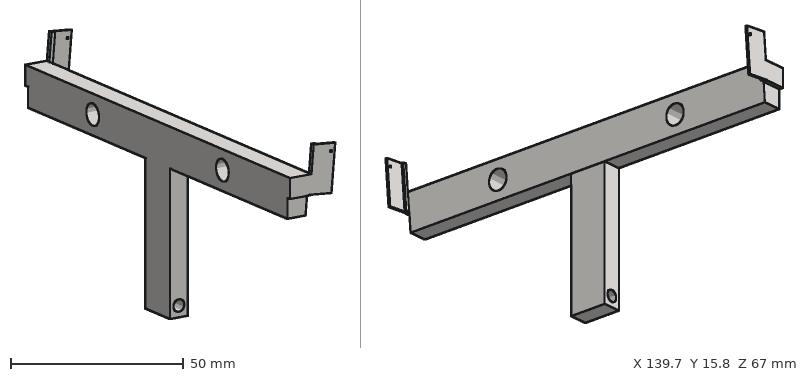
import cadquery as cq
import math

bar_length = 139.7
bar_top = 58.3
bar_height = 12.7
bar_bottom = bar_top - bar_height
bar_middle = bar_top - bar_height / 2
stem_width = 13.0
stem_depth = 6.3
end_step = 1.4

total_height = 67.0
total_depth = 15.8
lean = 5.0
tab_width = 7.5
tab_height = 15.1
plate_thickness = 0.7
rib_width = 1.3

bar_hole_spacing = 68.5
bar_hole_diameter = 6.7
stem_hole_diameter = 3.8
stem_hole_height = 3.6
pin_hole_diameter = 0.5
pin_hole_inset = 1.3
pin_hole_drop = 2.4

lean_sin = math.sin(math.radians(lean))
lean_cos = math.cos(math.radians(lean))
tab_back_top = (total_depth, total_height - tab_width * lean_sin)


def tab_point(forward, down):
    """(Y, Z) of a point measured from the tab's upper back corner."""
    y = tab_back_top[0] - forward * lean_cos - down * lean_sin
    z = tab_back_top[1] + forward * lean_sin - down * lean_cos
    return (y, z)


def back_face_y(z):
    """Y of the leaning back face of the bar, in line with the tab's front edge."""
    front_top = tab_point(tab_width, 0)
    return front_top[0] - (front_top[1] - z) * lean_sin / lean_cos


def extrude_along_x(outline, x_start, length):
    """Prism along +X from an outline of (Y, Z) points."""
    return cq.Workplane("YZ", origin=(x_start, 0, 0)).polyline(outline).close().extrude(length)


def make_bar():
    def bar_layer(z_low, z_high, length):
        outline = [(0, z_low), (back_face_y(z_low), z_low), (back_face_y(z_high), z_high), (0, z_high)]
        return extrude_along_x(outline, -length / 2, length)

    upper = bar_layer(bar_middle, bar_top, bar_length)
    lower = bar_layer(bar_bottom, bar_middle, bar_length - 2 * end_step)
    return upper.union(lower)


def make_stem():
    return cq.Workplane("XY").box(stem_width, stem_depth, bar_middle, centered=(True, False, False))


def make_left_tab():
    def tab_strip(back, front, thickness):
        outline = [
            tab_point(back, 0),
            tab_point(front, 0),
            tab_point(front, tab_height),
            tab_point(back, tab_height),
        ]
        return extrude_along_x(outline, -bar_length / 2, thickness)

    plate = tab_strip(0, tab_width, plate_thickness)
    rib = tab_strip(tab_width - rib_width, tab_width, end_step)
    pin_y, pin_z = tab_point(pin_hole_inset, pin_hole_drop)
    pin_hole = (
        cq.Workplane("YZ", origin=(-bar_length / 2, pin_y, pin_z))
        .circle(pin_hole_diameter / 2)
        .extrude(plate_thickness)
    )
    return plate.union(rib).clean().cut(pin_hole)


def make_bar_holes():
    return (
        cq.Workplane("XZ", origin=(0, 0, bar_middle))
        .pushPoints([(-bar_hole_spacing / 2, 0), (bar_hole_spacing / 2, 0)])
        .circle(bar_hole_diameter / 2)
        .extrude(-total_depth)
    )


def make_stem_hole():
    return (
        cq.Workplane("YZ", origin=(0, stem_depth / 2, stem_hole_height))
        .circle(stem_hole_diameter / 2)
        .extrude(stem_width / 2, both=True)
    )


left_tab = make_left_tab()
right_tab = left_tab.mirror("YZ")
body = make_bar().union(make_stem()).union(left_tab).union(right_tab).clean()
result = body.cut(make_bar_holes()).cut(make_stem_hole())